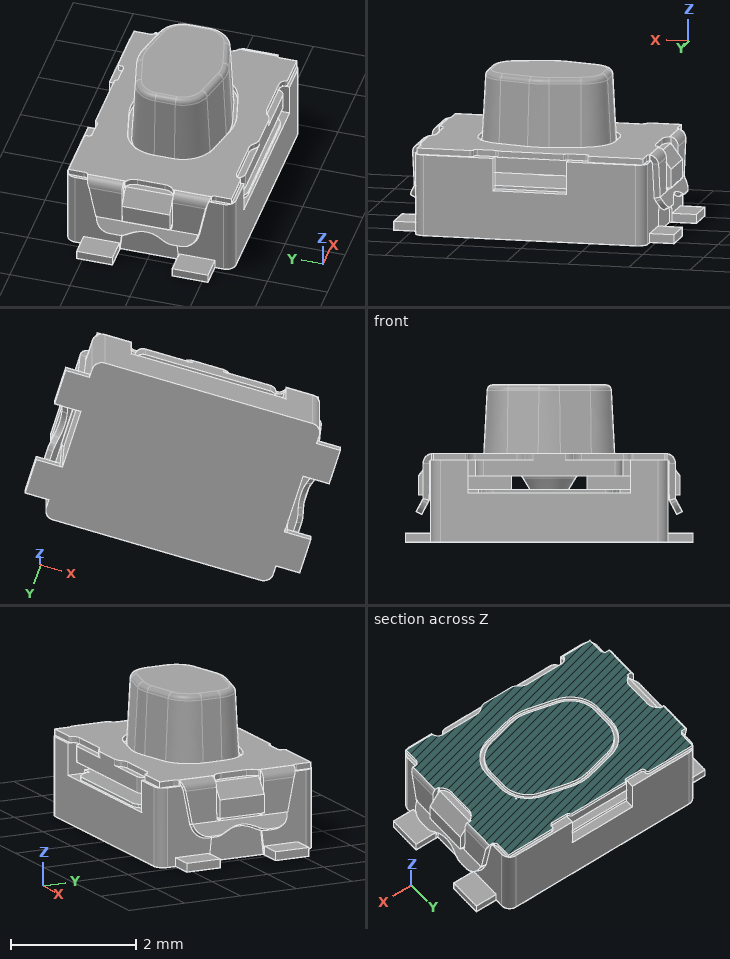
import cadquery as cq
import math

TOTAL_LENGTH = 4.6
TOTAL_HEIGHT = 2.52

BODY_LENGTH = 3.805
BODY_WIDTH = 2.8
BODY_HEIGHT = 1.32
BODY_CORNER_RADIUS = 0.16
CAVITY_FLOOR = 0.79
CAVITY_BACK = 1.24
FRONT_WINDOW_HALF = 1.295
BACK_WINDOW_HALF = 0.603

LATCH_WIDTH = 0.795
LATCH_BOTTOM = 0.755
LATCH_EDGE_HEIGHT = 1.063
LATCH_REACH = 2.095
RECESS_DEPTH = 0.04
RECESS_HALF_BOTTOM = 0.495
RECESS_HALF_TOP = 0.415

TERMINAL_INNER = 0.495
TERMINAL_OUTER = 1.095
TERMINAL_THICKNESS = 0.145

SHEET = 0.1
COVER_LENGTH = 3.708
COVER_WIDTH = 2.715
COVER_TOP = BODY_HEIGHT + SHEET
NOTCH_DEPTH = 0.105
FRONT_NOTCH_INNER = (0.258, 0.515)
FRONT_NOTCH_OUTER = (1.19, 1.34)
FRONT_NOTCH_SHARE = 0.8
BACK_NOTCH_INNER = (0.535, 0.595)
BACK_NOTCH_OUTER = (0.892, 0.985)
BACK_TONGUE_EDGE = 1.295

FLAP_OUTER = 2.02
BEND_RADIUS = 0.16
KINK_HEIGHT = 0.7
KINK_HALF_WIDTH = 0.85
BEND_HALF_WIDTH = 0.97
ROOT_HALF_WIDTH = 1.03
ROOT_FILLET = 0.07
ROOT_REACH = 0.03
KICK_ANGLE = 28.0
KICK_LENGTH = 0.235
KICK_TIP_HALF_WIDTH = 0.8
KICK_CORNER_RADIUS = 0.25
KINK_MITRE = SHEET * math.tan(math.radians(KICK_ANGLE / 2))
WAVE_HALF_WIDTH = 0.375
WAVE_PEAK = 0.19
WAVE_CREST_RADIUS = 0.485
WAVE_FOOT_RADIUS = 0.275

WINDOW_HALF = 0.425
WINDOW_FOOT_HALF = 0.41
WINDOW_TAPER_HEIGHT = 0.875
WINDOW_RELIEF_DEPTH = 0.04
WINDOW_RELIEF_WIDTH = 0.125
WINDOW_INNER = 1.8
WINDOW_CORNER_RADIUS = 0.195

BUTTON_HALF_LENGTH = 1.055
BUTTON_APEX = 0.825
BUTTON_SLOPE = 14.1
BUTTON_CORNER_RADIUS = 0.5
BUTTON_TIP_RADIUS = 0.735
BUTTON_DRAFT = 3.0
BUTTON_EDGE_RADIUS = 0.095
BUTTON_CLEARANCE = 0.065

FLANGE_BOTTOM = 1.06
FLANGE_HALF_LENGTH = 1.178
FLANGE_CORNER_RADIUS = 0.13
PLUNGER_TIP_DIAMETER = 0.6
PLUNGER_CONE_DIAMETER = 0.845
PLUNGER_ROOT_DIAMETER = 0.892
PLUNGER_TIP = 0.825
PLUNGER_CONE_TOP = 1.03
CONTACT_THICKNESS = 0.055
CONTACT_HALF_LENGTH = 1.13
CONTACT_CHAMFER = 0.165
CONTACT_BLEND = 0.16

CAVITY_FIT_FRONT = -1.105


def box(x_min, x_max, y_min, y_max, z_min, z_max):
    size = (x_max - x_min, y_max - y_min, z_max - z_min)
    return cq.Workplane("XY").box(*size, centered=False).translate((x_min, y_min, z_min))


def both_ends(solid):
    """A feature of the -X end together with its mirror image at the +X end."""
    return solid.union(solid.mirror("YZ"))


def make_body():
    body = (
        cq.Workplane("XY")
        .rect(BODY_LENGTH, BODY_WIDTH)
        .extrude(BODY_HEIGHT)
        .edges("|Z")
        .fillet(BODY_CORNER_RADIUS)
    )
    front, back = FRONT_WINDOW_HALF, BACK_WINDOW_HALF
    cavity = box(-front, front, -BODY_WIDTH, CAVITY_BACK, CAVITY_FLOOR, BODY_HEIGHT)
    back_window = box(-back, back, 0, BODY_WIDTH, CAVITY_FLOOR, BODY_HEIGHT)
    return body.cut(cavity).cut(back_window).cut(both_ends(make_recess()))


def make_recess():
    """Shallow tapered recess in the -X face, below the latch."""
    return (
        cq.Workplane("YZ", origin=(-BODY_LENGTH / 2, 0, 0))
        .polyline([
            (-RECESS_HALF_BOTTOM, 0),
            (RECESS_HALF_BOTTOM, 0),
            (RECESS_HALF_TOP, LATCH_BOTTOM),
            (-RECESS_HALF_TOP, LATCH_BOTTOM),
        ])
        .close()
        .extrude(RECESS_DEPTH)
    )


def make_latch():
    """Wedge on the -X face that holds the cover flap."""
    root = BODY_LENGTH / 2 - RECESS_DEPTH
    return (
        cq.Workplane("XZ")
        .polyline([
            (-root, LATCH_BOTTOM),
            (-LATCH_REACH, LATCH_BOTTOM),
            (-LATCH_REACH, LATCH_EDGE_HEIGHT),
            (-BODY_LENGTH / 2, BODY_HEIGHT),
            (-root, BODY_HEIGHT),
        ])
        .close()
        .extrude(LATCH_WIDTH / 2, both=True)
    )


def make_terminals():
    inner, outer = TERMINAL_INNER, TERMINAL_OUTER
    root = BODY_LENGTH / 2 - BODY_CORNER_RADIUS
    end = TOTAL_LENGTH / 2
    terminal = box(-end, -root, inner, outer, 0, TERMINAL_THICKNESS)
    return both_ends(terminal.union(terminal.mirror("XZ")))


def button_outline():
    """Six-sided wire at Z = 0 with pointed long sides, all corners rounded."""
    shoulder = BUTTON_APEX - BUTTON_HALF_LENGTH * math.tan(math.radians(BUTTON_SLOPE))
    length = BUTTON_HALF_LENGTH
    blank = (
        cq.Workplane("XY")
        .polyline([
            (length, -shoulder),
            (length, shoulder),
            (0, BUTTON_APEX),
            (-length, shoulder),
            (-length, -shoulder),
            (0, -BUTTON_APEX),
        ])
        .close()
        .extrude(SHEET)
    )
    blank = blank.edges("|Z and (>X or <X)").fillet(BUTTON_CORNER_RADIUS)
    return blank.edges("|Z and (>Y or <Y)").fillet(BUTTON_TIP_RADIUS).faces("<Z").wires().val()


def make_button():
    outline = button_outline().translate(cq.Vector(0, 0, BODY_HEIGHT))
    cap = (
        cq.Workplane("XY", origin=(0, 0, BODY_HEIGHT))
        .add(outline)
        .toPending()
        .extrude(TOTAL_HEIGHT - BODY_HEIGHT, taper=BUTTON_DRAFT)
        .faces(">Z")
        .edges()
        .fillet(BUTTON_EDGE_RADIUS)
    )
    return cap.union(make_flange()).union(make_plunger())


def cavity_fill(bottom, top):
    """Broad layer that fills the housing cavity from wall to wall."""
    half = FRONT_WINDOW_HALF
    return box(-half, half, CAVITY_FIT_FRONT, CAVITY_BACK, bottom, top)


def make_flange():
    half = FLANGE_HALF_LENGTH
    flange = box(-half, half, -COVER_WIDTH / 2, CAVITY_BACK, FLANGE_BOTTOM, BODY_HEIGHT)
    flange = flange.edges("|Z and <Y").fillet(FLANGE_CORNER_RADIUS)
    return flange.union(cavity_fill(FLANGE_BOTTOM, BODY_HEIGHT))


def make_plunger():
    """Tapered pin under the flange that reaches into the contact sheet."""
    return (
        cq.Workplane("XZ")
        .polyline([
            (0, PLUNGER_TIP),
            (PLUNGER_TIP_DIAMETER / 2, PLUNGER_TIP),
            (PLUNGER_CONE_DIAMETER / 2, PLUNGER_CONE_TOP),
            (PLUNGER_ROOT_DIAMETER / 2, FLANGE_BOTTOM),
            (0, FLANGE_BOTTOM),
        ])
        .close()
        .revolve(360, (0, 0), (0, 1))
    )


def make_contact_sheet():
    half = CONTACT_HALF_LENGTH
    top = CAVITY_FLOOR + CONTACT_THICKNESS
    sheet = box(-half, half, -COVER_WIDTH / 2, CAVITY_BACK, CAVITY_FLOOR, top)
    sheet = sheet.edges("|Z and <Y").chamfer(CONTACT_CHAMFER)
    sheet = sheet.edges("|Z").edges("not >Y").fillet(CONTACT_BLEND)
    return sheet.union(cavity_fill(CAVITY_FLOOR, top))


def s_step(path, start, end, share=0.5):
    """Shift a path sideways with two tangent arcs, parallel to X before and after.

    The first arc covers the given share of the step.
    """
    middle = (start[0] + share * (end[0] - start[0]), start[1] + share * (end[1] - start[1]))
    return path.tangentArcPoint(middle, relative=False).tangentArcPoint(end, relative=False)


def make_notch(inner, outer, inner_edge, outer_share=0.5):
    """Notch with S-shaped ends in the +Y cover edge; inner_edge is the edge nearer the middle."""
    edge = COVER_WIDTH / 2
    floor = edge - NOTCH_DEPTH
    inner_start = (inner[0], inner_edge)
    inner_end = (inner[1], floor)
    outer_start = (outer[0], floor)
    outer_end = (outer[1], edge)
    path = cq.Workplane("XY", origin=(0, 0, BODY_HEIGHT)).moveTo(0, inner_edge).lineTo(*inner_start)
    path = s_step(path, inner_start, inner_end).lineTo(*outer_start)
    path = s_step(path, outer_start, outer_end, outer_share)
    return path.lineTo(outer[1], COVER_WIDTH).lineTo(0, COVER_WIDTH).close().extrude(SHEET)


def make_cover():
    plate = cover_plate()
    edge = COVER_WIDTH / 2
    front = make_notch(FRONT_NOTCH_INNER, FRONT_NOTCH_OUTER, edge, FRONT_NOTCH_SHARE).mirror("XZ")
    back = make_notch(BACK_NOTCH_INNER, BACK_NOTCH_OUTER, BACK_TONGUE_EDGE)
    plate = plate.cut(both_ends(front)).cut(both_ends(back))
    opening = button_outline().offset2D(BUTTON_CLEARANCE)
    plate = plate.cut(cq.Workplane("XY").add(opening).toPending().extrude(TOTAL_HEIGHT))
    return plate.union(both_ends(make_flap())).cut(both_ends(make_flap_window()))


def cover_plate():
    """Flat plate with filleted shoulders where the two flaps leave its ends."""
    plate = cq.Workplane("XY", origin=(0, 0, BODY_HEIGHT)).rect(COVER_LENGTH, COVER_WIDTH).extrude(SHEET)
    end = COVER_LENGTH / 2
    reach = end + ROOT_REACH
    root = ROOT_HALF_WIDTH
    flare = root + ROOT_FILLET
    shoulder = (
        cq.Workplane("XY", origin=(0, 0, BODY_HEIGHT))
        .moveTo(-end, -flare)
        .radiusArc((-reach, -root), -ROOT_FILLET)
        .lineTo(-reach, root)
        .radiusArc((-end, flare), -ROOT_FILLET)
        .close()
        .extrude(SHEET)
    )
    return plate.union(both_ends(shoulder))


def make_flap():
    """Tapered flap of the -X end: bent down from the plate, with its kicked lower end."""
    inner = FLAP_OUTER - SHEET
    bend = FLAP_OUTER - BEND_RADIUS
    inner_radius = BEND_RADIUS - SHEET
    root = COVER_LENGTH / 2 - SHEET
    sheet = (
        cq.Workplane("XZ")
        .moveTo(-root, COVER_TOP)
        .lineTo(-bend, COVER_TOP)
        .radiusArc((-FLAP_OUTER, COVER_TOP - BEND_RADIUS), -BEND_RADIUS)
        .lineTo(-FLAP_OUTER, KINK_HEIGHT)
        .lineTo(-inner, KINK_HEIGHT - KINK_MITRE)
        .lineTo(-inner, COVER_TOP - BEND_RADIUS)
        .radiusArc((-bend, BODY_HEIGHT), inner_radius)
        .lineTo(-root, BODY_HEIGHT)
        .close()
        .extrude(ROOT_HALF_WIDTH, both=True)
    )
    outline = (
        cq.Workplane("YZ")
        .polyline([
            (-KINK_HALF_WIDTH, KINK_HEIGHT - KINK_MITRE),
            (KINK_HALF_WIDTH, KINK_HEIGHT - KINK_MITRE),
            (BEND_HALF_WIDTH, COVER_TOP - BEND_RADIUS),
            (ROOT_HALF_WIDTH, COVER_TOP),
            (-ROOT_HALF_WIDTH, COVER_TOP),
            (-BEND_HALF_WIDTH, COVER_TOP - BEND_RADIUS),
        ])
        .close()
        .extrude(-TOTAL_LENGTH)
    )
    return sheet.intersect(outline).union(make_kick())


def make_kick():
    """Lower end of the flap, kicked outwards, with two lobes and a wave between them."""
    angle = math.radians(KICK_ANGLE)
    plane = cq.Plane(
        origin=(-FLAP_OUTER, 0, KINK_HEIGHT),
        xDir=(0, 1, 0),
        normal=(-math.cos(angle), 0, math.sin(angle)),
    )
    kick = (
        cq.Workplane(plane)
        .polyline([
            (-KINK_HALF_WIDTH, -KINK_MITRE),
            (-KICK_TIP_HALF_WIDTH, KICK_LENGTH),
            (-WAVE_HALF_WIDTH, KICK_LENGTH),
            (0, KICK_LENGTH - WAVE_PEAK),
            (WAVE_HALF_WIDTH, KICK_LENGTH),
            (KICK_TIP_HALF_WIDTH, KICK_LENGTH),
            (KINK_HALF_WIDTH, -KINK_MITRE),
        ])
        .close()
        .extrude(-SHEET)
    )

    def edge_at(y, along):
        return cq.selectors.NearestToPointSelector(plane.toWorldCoords((y, along, -SHEET / 2)).toTuple())

    kick = kick.edges(edge_at(0, KICK_LENGTH - WAVE_PEAK)).fillet(WAVE_CREST_RADIUS)
    for side in (-1, 1):
        kick = kick.edges(edge_at(side * WAVE_HALF_WIDTH, KICK_LENGTH)).fillet(WAVE_FOOT_RADIUS)
        kick = kick.edges(edge_at(side * KICK_TIP_HALF_WIDTH, KICK_LENGTH)).fillet(KICK_CORNER_RADIUS)
    return kick


def make_flap_window():
    """Opening for the latch: a rounded notch in the plate and a cut through the flap."""
    half = WINDOW_HALF
    end = TOTAL_LENGTH / 2
    plate_notch = box(-end, -WINDOW_INNER, -half, half, COVER_TOP - BEND_RADIUS, COVER_TOP)
    plate_notch = plate_notch.edges("|Z and >X").fillet(WINDOW_CORNER_RADIUS)
    foot = WINDOW_FOOT_HALF
    relief_end = foot - WINDOW_RELIEF_WIDTH
    relief_bottom = (foot - WINDOW_RELIEF_DEPTH, LATCH_BOTTOM - WINDOW_RELIEF_DEPTH)
    flap_cut = (
        cq.Workplane("YZ")
        .moveTo(-half, COVER_TOP)
        .lineTo(-half, WINDOW_TAPER_HEIGHT)
        .lineTo(-foot, LATCH_BOTTOM)
        .radiusArc((-relief_bottom[0], relief_bottom[1]), -WINDOW_RELIEF_DEPTH)
        .lineTo(-relief_end, LATCH_BOTTOM)
        .lineTo(relief_end, LATCH_BOTTOM)
        .lineTo(*relief_bottom)
        .radiusArc((foot, LATCH_BOTTOM), -WINDOW_RELIEF_DEPTH)
        .lineTo(half, WINDOW_TAPER_HEIGHT)
        .lineTo(half, COVER_TOP)
        .close()
        .extrude(-end)
    )
    through_flap = box(-end, -BODY_LENGTH / 2, -half, half, 0, COVER_TOP)
    return plate_notch.union(flap_cut.intersect(through_flap))


result = (
    make_body()
    .union(make_terminals())
    .union(make_contact_sheet())
    .union(make_button())
    .union(make_cover())
    .union(both_ends(make_latch()))
)